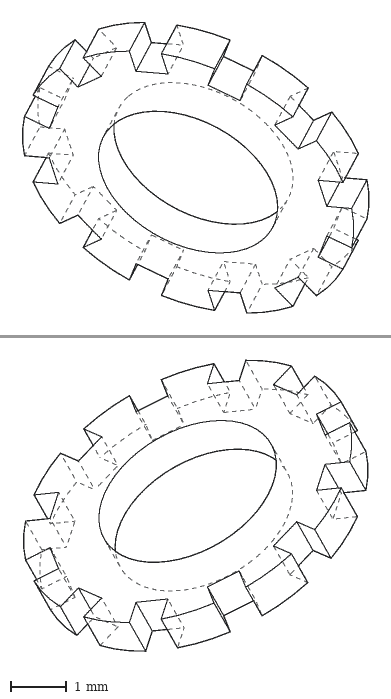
import cadquery as cq

outer_diameter = 6.35
bore_diameter = 3.43
thickness = 0.762
slot_count = 12
slot_width = 0.635
slot_depth = 0.508

outer_radius = outer_diameter / 2
slot_floor_radius = outer_radius - slot_depth
slot_pitch_angle = 360 / slot_count
first_slot_angle = slot_pitch_angle / 2
cutter_length = 2 * slot_depth


def make_ring():
    """Flat ring with its axis along Y, centred on the origin."""
    return (
        cq.Workplane("XZ")
        .circle(outer_radius)
        .circle(bore_diameter / 2)
        .extrude(thickness / 2, both=True)
    )


def make_slot_cutter(angle):
    """Parallel-sided, flat-floored rim slot pointing outward at the given angle about Y."""
    return (
        cq.Workplane("XZ")
        .center(slot_floor_radius + cutter_length / 2, 0)
        .rect(cutter_length, slot_width)
        .extrude(thickness, both=True)
        .rotate((0, 0, 0), (0, 1, 0), angle)
    )


result = make_ring()
for slot_index in range(slot_count):
    result = result.cut(make_slot_cutter(first_slot_angle + slot_index * slot_pitch_angle))